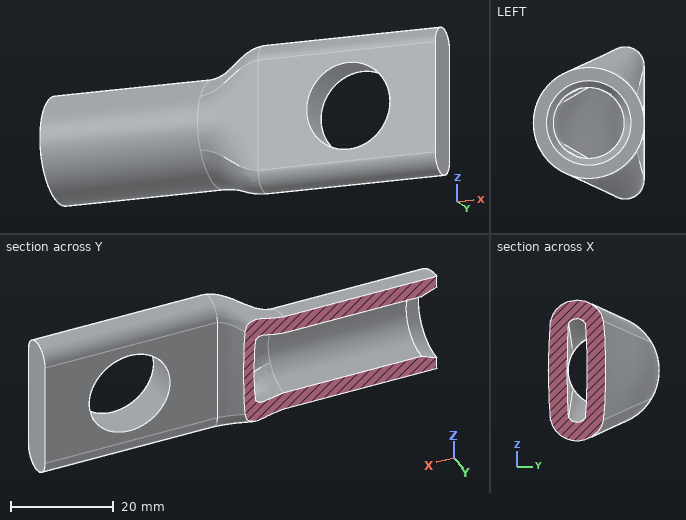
import cadquery as cq
import math

total_length = 83.3
barrel_diameter = 21.7
barrel_length = 33.25
transition_length = 12.75

palm_width = 29.75
palm_thickness = 7.5
hole_diameter = 17.5
hole_x = 65.0

bore_diameter = 13.8
mouth_diameter = 16.5
mouth_depth = 3.3
closed_gap = 0.2

seam_angle = 30.0
blend_steps = 4

barrel_radius = barrel_diameter / 2
palm_start = barrel_length + transition_length
palm_length = total_length - palm_start
palm_y = palm_thickness / 2 - barrel_radius
palm_flat_width = palm_width - palm_thickness


def circle_points(radius):
    """Eight (y, z) points: four seams, each followed by the middle of its arc."""
    angles = (-seam_angle, 0, seam_angle, 90, 180 - seam_angle, 180, 180 + seam_angle, 270)
    return [(radius * math.cos(math.radians(a)), radius * math.sin(math.radians(a))) for a in angles]


def slot_points(flat_width, thickness):
    """The matching eight points on a round-ended slot centred on the palm."""
    z = flat_width / 2
    r = thickness / 2
    points = [(r, -z), (r, 0), (r, z), (0, z + r), (-r, z), (-r, 0), (-r, -z), (0, -z - r)]
    return [(palm_y + y, height) for y, height in points]


def section(x, points, flat_sides=False):
    """Closed wire at x, made of two broad sides and two rounded edges."""
    corners = [cq.Vector(x, y, z) for y, z in points]
    edges = []
    for i in range(0, len(corners), 2):
        start, middle, end = corners[i], corners[i + 1], corners[(i + 2) % len(corners)]
        if flat_sides and i % 4 == 0:
            edges.append(cq.Edge.makeLine(start, end))
        else:
            edges.append(cq.Edge.makeThreePointArc(start, middle, end))
    return cq.Wire.assembleEdges(edges)


def blend(radius, flat_width, thickness):
    """S-shaped loft from a circle on the barrel to a slot section at the palm."""
    first = circle_points(radius)
    last = slot_points(flat_width, thickness)
    wires = []
    for step in range(blend_steps + 1):
        t = step / blend_steps
        weight = t * t * (3 - 2 * t)
        points = [
            (a[0] + (b[0] - a[0]) * weight, a[1] + (b[1] - a[1]) * weight)
            for a, b in zip(first, last)
        ]
        x = barrel_length + transition_length * t
        wires.append(section(x, points, flat_sides=step == blend_steps))
    return cq.Workplane(obj=cq.Solid.makeLoft(wires))


def x_cylinder(diameter, length):
    return cq.Workplane("YZ").circle(diameter / 2).extrude(length)


palm_wire = section(palm_start, slot_points(palm_flat_width, palm_thickness), flat_sides=True)
palm = cq.Workplane(obj=cq.Solid.extrudeLinear(palm_wire, [], cq.Vector(palm_length, 0, 0)))
body = x_cylinder(barrel_diameter, barrel_length)
body = body.union(blend(barrel_radius, palm_flat_width, palm_thickness)).union(palm)

mouth = cq.Workplane(
    obj=cq.Solid.makeCone(
        mouth_diameter / 2, bore_diameter / 2, mouth_depth, cq.Vector(0, 0, 0), cq.Vector(1, 0, 0)
    )
)
body = body.cut(x_cylinder(bore_diameter, barrel_length)).cut(mouth)
body = body.cut(blend(bore_diameter / 2, palm_flat_width, closed_gap))

hole = (
    cq.Workplane("XZ", origin=(hole_x, barrel_radius, 0))
    .circle(hole_diameter / 2)
    .extrude(barrel_diameter)
)
result = body.cut(hole)